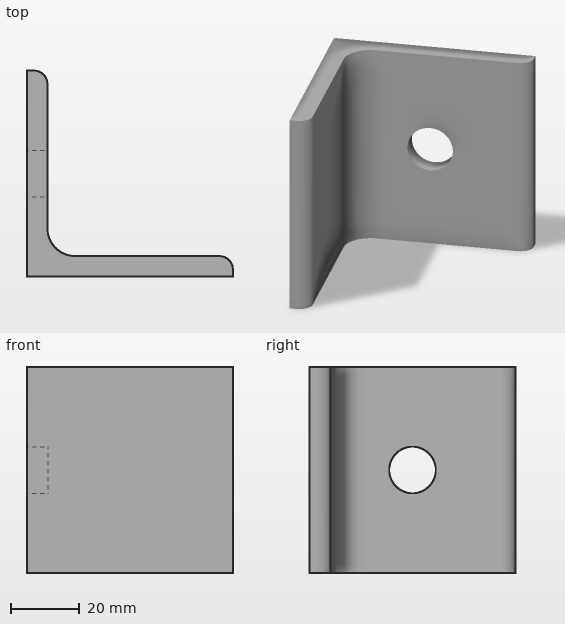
import cadquery as cq

leg_length = 60.0
leg_thickness = 6.0
bracket_height = 60.0
root_radius = 8.0
toe_radius = 4.0

hole_diameter = 13.5
hole_y = leg_length / 2
hole_z = bracket_height / 2


def make_angle():
    """Angle bar with its outer corner on the Z axis and its base at Z = 0."""
    toe_start = leg_length - toe_radius
    toe_flat = leg_thickness - toe_radius
    root_end = leg_thickness + root_radius
    return (
        cq.Workplane("XY")
        .lineTo(leg_length, 0)
        .lineTo(leg_length, toe_flat)
        .radiusArc((toe_start, leg_thickness), -toe_radius)
        .lineTo(root_end, leg_thickness)
        .radiusArc((leg_thickness, root_end), root_radius)
        .lineTo(leg_thickness, toe_start)
        .radiusArc((toe_flat, leg_length), -toe_radius)
        .lineTo(0, leg_length)
        .close()
        .extrude(bracket_height)
    )


def make_bolt_hole():
    """Cylinder along X that spans the thickness of the leg along Y."""
    return (
        cq.Workplane("YZ")
        .center(hole_y, hole_z)
        .circle(hole_diameter / 2)
        .extrude(leg_thickness)
    )


result = make_angle().cut(make_bolt_hole())